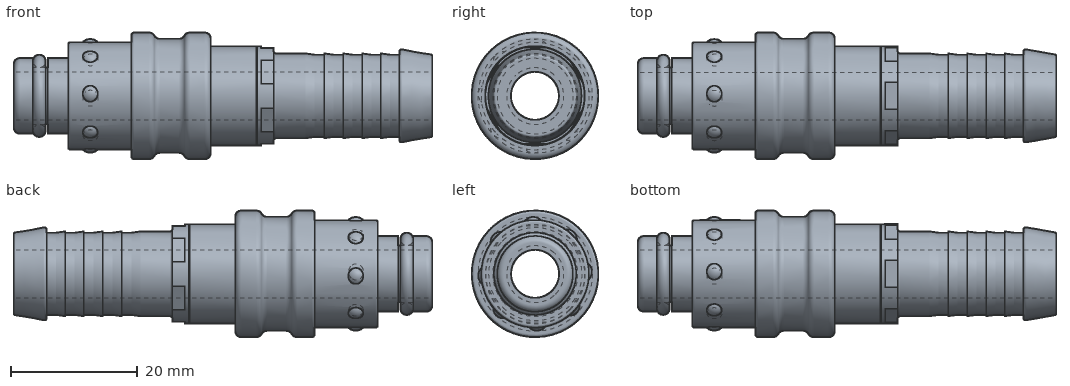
import cadquery as cq
import math


total_length = 66.0
bore_dia = 7.5

nose_dia = 11.95
nose_fillet = 1.0
nose_length = 8.6
groove_start = 3.05
groove_end = 5.4
groove_dia = 9.0
ring_outer_dia = 13.0
ring_wire_dia = (ring_outer_dia - groove_dia) / 2

sleeve_dia = 16.95
sleeve_fillet = 0.4
ball_count = 8
ball_x = 12.1
ball_sphere_radius = 1.65
ball_tip_radius = 9.0
ball_first_angle = 2.3

flange_dia = 20.0
flange_start = 18.55
flange_front_fillet = 0.45
flange_end = 31.1
flange_back_fillet = 1.0
neck_dia = 18.0
neck_start = 23.05
neck_end = 26.1
flank_arc_radius = 1.0

rear_dia = 15.7
rear_end = 41.0
fine_groove_start = 38.2
fine_groove_width = 0.2
fine_groove_dia = 15.6
flat_count = 6
flat_length = 2.0
across_flats = 15.1

tail_dia = 13.4
tail_root_fillet = 0.4
barb_root_dia = 13.0
barb_count = 5
barb_start = 46.0
barb_pitch = 3.0
barb_taper_length = 1.45
end_barb_start = 60.8
end_barb_dia = 14.85
end_barb_fillet = 0.4
end_dia = 13.0
end_fillet = 0.3


def cylinder(start, end, diameter):
    """Solid cylinder along X."""
    return cq.Workplane("YZ", origin=(start, 0, 0)).circle(diameter / 2).extrude(end - start)


def ring_cut(start, end, inner_dia, outer_dia):
    """Annular cutter along X."""
    return cylinder(start, end, outer_dia).cut(cylinder(start, end, inner_dia))


def make_nose():
    nose = cylinder(0, nose_length, nose_dia).faces("<X").edges().fillet(nose_fillet)
    return nose.cut(ring_cut(groove_start, groove_end, groove_dia, nose_dia))


def make_ball_sleeve():
    sleeve = cylinder(nose_length, flange_start, sleeve_dia).faces("<X").edges().fillet(sleeve_fillet)
    ball = cq.Workplane("YZ").sphere(ball_sphere_radius)
    ball = ball.translate((ball_x, 0, ball_tip_radius - ball_sphere_radius))
    for i in range(ball_count):
        angle = -ball_first_angle + i * 360 / ball_count
        sleeve = sleeve.union(ball.rotate((0, 0, 0), (1, 0, 0), angle))
    return sleeve


def make_flanges():
    """Two flanges joined by a neck; each flank is a convex arc running into an equal concave arc."""
    flange_r = flange_dia / 2
    neck_r = neck_dia / 2
    middle_r = (flange_r + neck_r) / 2
    flank_angle = math.acos(1 - (flange_r - neck_r) / (2 * flank_arc_radius))
    arc_run = flank_arc_radius * math.sin(flank_angle)
    half_run = flank_arc_radius * math.sin(flank_angle / 2)
    half_rise = flank_arc_radius * (1 - math.cos(flank_angle / 2))
    front_crest = neck_start - 2 * arc_run
    back_crest = neck_end + 2 * arc_run
    flanges = (
        cq.Workplane("XY")
        .moveTo(flange_start, 0)
        .lineTo(flange_start, flange_r)
        .lineTo(front_crest, flange_r)
        .threePointArc((front_crest + half_run, flange_r - half_rise), (front_crest + arc_run, middle_r))
        .threePointArc((neck_start - half_run, neck_r + half_rise), (neck_start, neck_r))
        .lineTo(neck_end, neck_r)
        .threePointArc((neck_end + half_run, neck_r + half_rise), (neck_end + arc_run, middle_r))
        .threePointArc((back_crest - half_run, flange_r - half_rise), (back_crest, flange_r))
        .lineTo(flange_end, flange_r)
        .lineTo(flange_end, 0)
        .close()
        .revolve(360, (0, 0, 0), (1, 0, 0))
    )
    flanges = flanges.faces("<X").edges().fillet(flange_front_fillet)
    return flanges.faces(">X").edges().fillet(flange_back_fillet)


def make_rear_body():
    rear = cylinder(flange_end, rear_end, rear_dia)
    fine_groove_end = fine_groove_start + fine_groove_width
    rear = rear.cut(ring_cut(fine_groove_start, fine_groove_end, fine_groove_dia, rear_dia))
    flats = (
        cq.Workplane("YZ", origin=(rear_end - flat_length, 0, 0))
        .circle(rear_dia)
        .polygon(flat_count, across_flats, circumscribed=True)
        .extrude(flat_length)
    )
    return rear.cut(flats.rotate((0, 0, 0), (1, 0, 0), 180 / flat_count))


def make_tail():
    tail_r = tail_dia / 2
    root_r = barb_root_dia / 2
    fillet_drop = tail_root_fillet * math.sqrt(0.5)
    outline = (
        cq.Workplane("XY")
        .moveTo(rear_end, 0)
        .lineTo(rear_end, tail_r + tail_root_fillet)
        .threePointArc(
            (rear_end + tail_root_fillet - fillet_drop, tail_r + tail_root_fillet - fillet_drop),
            (rear_end + tail_root_fillet, tail_r),
        )
    )
    for i in range(barb_count):
        crest_x = barb_start + i * barb_pitch
        outline = outline.lineTo(crest_x, tail_r).lineTo(crest_x + barb_taper_length, root_r)
        next_x = crest_x + barb_pitch if i < barb_count - 1 else end_barb_start
        outline = outline.lineTo(next_x, root_r)
    tail = outline.lineTo(end_barb_start, 0).close().revolve(360, (0, 0, 0), (1, 0, 0))
    return tail.union(make_end_barb())


def make_end_barb():
    barb = (
        cq.Workplane("XY")
        .moveTo(end_barb_start, 0)
        .lineTo(end_barb_start, end_barb_dia / 2)
        .lineTo(total_length, end_dia / 2)
        .lineTo(total_length, 0)
        .close()
        .revolve(360, (0, 0, 0), (1, 0, 0))
    )
    barb = barb.faces("<X").edges().fillet(end_barb_fillet)
    return barb.faces(">X").edges().fillet(end_fillet)


def make_coupling():
    coupling = make_nose()
    for section in (make_ball_sleeve(), make_flanges(), make_rear_body(), make_tail()):
        coupling = coupling.union(section)
    return coupling.cut(cylinder(0, total_length, bore_dia))


def make_o_ring():
    """Round-section ring seated on the groove floor, against the groove's front wall."""
    wire_radius = ring_wire_dia / 2
    return (
        cq.Workplane("XY")
        .center(groove_start + wire_radius, groove_dia / 2 + wire_radius)
        .circle(wire_radius)
        .revolve(360, (0, -groove_dia / 2 - wire_radius, 0), (1, -groove_dia / 2 - wire_radius, 0))
    )


coupling = make_coupling()
o_ring = make_o_ring()

result = cq.Compound.makeCompound([coupling.val(), o_ring.val()])